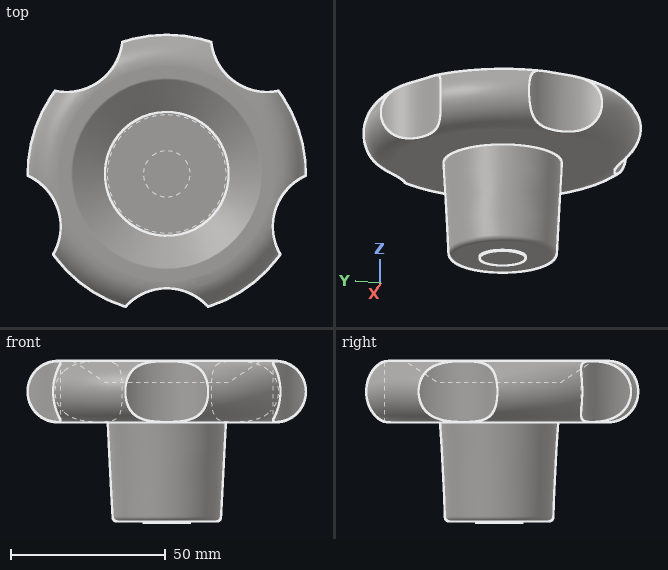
import cadquery as cq
import math

head_radius = 45.0
head_height = 20.0
rim_radius = head_height / 2
flat_radius = head_radius - rim_radius

notch_count = 5
notch_radius = 18.0
notch_center_distance = 55.0
first_notch_angle = -90.0
notch_overrun = 5.0

recess_floor_radius = 20.0
recess_mouth_radius = 30.6
recess_depth = 7.0
recess_edge_radius = 1.0

hub_length = 32.0
hub_root_radius = 19.15
hub_end_radius = 17.5
hub_edge_radius = 1.6

insert_diameter = 15.0
insert_protrusion = 0.4

head_bottom = hub_length
head_top = head_bottom + head_height


def make_head():
    profile = (
        cq.Workplane("YZ")
        .moveTo(0, head_bottom)
        .lineTo(flat_radius, head_bottom)
        .threePointArc((head_radius, head_bottom + rim_radius), (flat_radius, head_top))
        .lineTo(0, head_top)
        .close()
    )
    return profile.revolve(360, (0, 0, 0), (0, 1, 0))


def make_notch(angle):
    center_x = notch_center_distance * math.cos(math.radians(angle))
    center_y = notch_center_distance * math.sin(math.radians(angle))
    return (
        cq.Workplane("XY", origin=(0, 0, head_bottom - notch_overrun))
        .center(center_x, center_y)
        .circle(notch_radius)
        .extrude(head_height + 2 * notch_overrun)
    )


def cut_recess(body):
    floor = head_top - recess_depth
    profile = (
        cq.Workplane("XZ")
        .moveTo(0, floor)
        .lineTo(recess_floor_radius, floor)
        .lineTo(recess_mouth_radius, head_top)
        .lineTo(0, head_top)
        .close()
    )
    body = body.cut(profile.revolve(360, (0, 0, 0), (0, 1, 0)))
    mouth_edge = cq.selectors.RadiusNthSelector(0)
    return body.faces(">Z").edges(mouth_edge).fillet(recess_edge_radius)


def make_hub():
    profile = (
        cq.Workplane("XZ")
        .lineTo(hub_end_radius, 0)
        .lineTo(hub_root_radius, head_bottom)
        .lineTo(0, head_bottom)
        .close()
    )
    hub = profile.revolve(360, (0, 0, 0), (0, 1, 0))
    return hub.faces("<Z").edges().fillet(hub_edge_radius)


def make_insert_end():
    return cq.Workplane("XY").circle(insert_diameter / 2).extrude(-insert_protrusion)


head = cut_recess(make_head())
for index in range(notch_count):
    notch_angle = first_notch_angle + index * 360 / notch_count
    head = head.cut(make_notch(notch_angle))

result = head.union(make_hub()).union(make_insert_end())